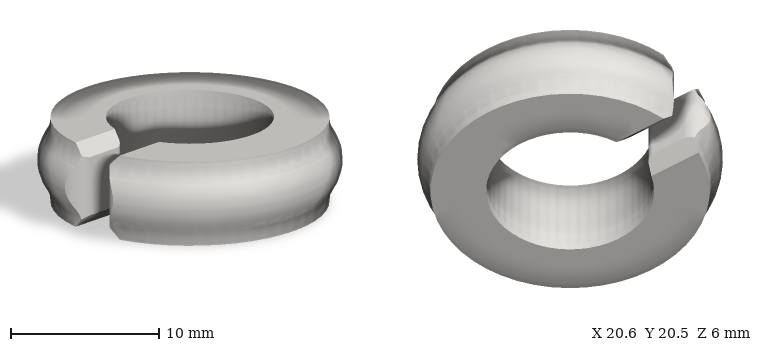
import cadquery as cq
import math

height = 6.0
bore_radius = 5.67
bulge_radius = 10.3
rim_radius = 9.42
rim_land = 0.12
bulge_half_height = 1.53

gap_width = 2.18
gap_chamfer = 0.93
inner_round = 0.62
mouth_round = 1.45
mouth_round_start = 8.65
clearance = 1.03

half_height = height / 2
half_gap = gap_width / 2


def ring_body():
    """Revolve the wavy outer profile: concave, convex, concave, all tangent."""
    wave_half_height = half_height - rim_land
    wave_depth = bulge_radius - rim_radius
    slope = 2 * math.atan(wave_depth / wave_half_height)
    convex_radius = bulge_half_height / math.sin(slope)
    concave_radius = (wave_half_height - bulge_half_height) / math.sin(slope)
    joint_radius = bulge_radius - convex_radius * (1 - math.cos(slope))
    concave_mid_radius = rim_radius + concave_radius * (1 - math.cos(slope / 2))
    concave_mid_height = wave_half_height - concave_radius * math.sin(slope / 2)

    profile = (
        cq.Workplane("XZ")
        .moveTo(bore_radius, -half_height)
        .lineTo(rim_radius, -half_height)
        .lineTo(rim_radius, -wave_half_height)
        .threePointArc((concave_mid_radius, -concave_mid_height), (joint_radius, -bulge_half_height))
        .threePointArc((bulge_radius, 0), (joint_radius, bulge_half_height))
        .threePointArc((concave_mid_radius, concave_mid_height), (rim_radius, wave_half_height))
        .lineTo(rim_radius, half_height)
        .lineTo(bore_radius, half_height)
        .close()
    )
    return profile.revolve(360, (0, 0, 0), (0, 1, 0))


def half_gap_cutter():
    """Cutter for the +X half of the gap, with both rounds in its outline."""
    inner_center_x = half_gap + inner_round
    center_distance = bore_radius + inner_round
    inner_center_y = -math.sqrt(center_distance**2 - inner_center_x**2)
    tangent_x = inner_center_x * bore_radius / center_distance
    tangent_y = inner_center_y * bore_radius / center_distance
    tangent_angle = math.atan2(tangent_y - inner_center_y, tangent_x - inner_center_x)
    mid_angle = (tangent_angle + math.pi) / 2
    inner_mid = (
        inner_center_x + inner_round * math.cos(mid_angle),
        inner_center_y + inner_round * math.sin(mid_angle),
    )
    mouth_center_x = half_gap + mouth_round
    mouth_offset = mouth_round * math.sqrt(0.5)
    mouth_mid = (mouth_center_x - mouth_offset, -mouth_round_start - mouth_offset)
    outside_y = -bulge_radius - clearance

    return (
        cq.Workplane("XY")
        .workplane(offset=-half_height)
        .lineTo(tangent_x, tangent_y)
        .threePointArc(inner_mid, (half_gap, inner_center_y))
        .lineTo(half_gap, -mouth_round_start)
        .threePointArc(mouth_mid, (mouth_center_x, -mouth_round_start - mouth_round))
        .lineTo(mouth_center_x, outside_y)
        .lineTo(0, outside_y)
        .close()
        .extrude(height)
    )


def chamfer_cutter():
    """Wedge running along Y that bevels the top edges of the gap."""
    wedge_half_width = half_gap + gap_chamfer
    return (
        cq.Workplane("XZ")
        .moveTo(-half_gap, half_height - gap_chamfer)
        .lineTo(half_gap, half_height - gap_chamfer)
        .lineTo(wedge_half_width, half_height)
        .lineTo(-wedge_half_width, half_height)
        .close()
        .extrude(bulge_radius + clearance)
    )


result = ring_body()
for cutter, mirror_plane in ((half_gap_cutter(), "YZ"), (chamfer_cutter(), "XY")):
    result = result.cut(cutter).cut(cutter.mirror(mirror_plane))